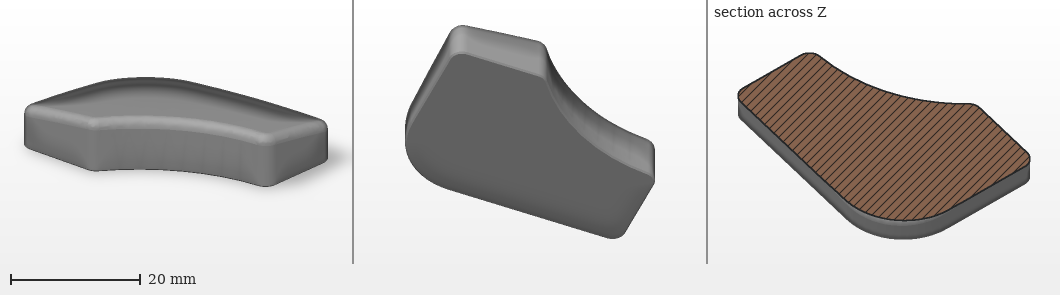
import cadquery as cq
import math

LENGTH = 39.8
WIDTH = 28.4
HEIGHT = 8.51

LARGE_CORNER_RADIUS = 11.125
CORNER_RADIUS = 4.25 / 2

AXIS_X = 39.9
AXIS_Y = -17.1
CONCAVE_RADIUS = 30.0

CROWN_RADIUS = 330.0
CROWN_SLOPE_DEG = 7.0

TOP_FILLET = 1.5
BOTTOM_CHAMFER = 0.25

FRONT_TIP_X = AXIS_X - math.sqrt(CONCAVE_RADIUS**2 - AXIS_Y**2)
RIGHT_TIP_Y = AXIS_Y + math.sqrt(CONCAVE_RADIUS**2 - (LENGTH - AXIS_X) ** 2)


def round_upright_edge(block, x, y, radius):
    """Fillet the vertical edge of the block that stands at (x, y)."""
    edge = cq.selectors.NearestToPointSelector((x, y, HEIGHT / 2))
    return block.edges("|Z").edges(edge).fillet(radius)


def outline_block():
    """Upright block with the rounded outline, tall enough to be trimmed by the crown."""
    diagonal = CONCAVE_RADIUS * math.sqrt(0.5)
    block = (
        cq.Workplane("XY")
        .lineTo(FRONT_TIP_X, 0)
        .threePointArc((AXIS_X - diagonal, AXIS_Y + diagonal), (LENGTH, RIGHT_TIP_Y))
        .lineTo(LENGTH, WIDTH)
        .lineTo(0, WIDTH)
        .close()
        .extrude(HEIGHT + TOP_FILLET)
    )
    block = round_upright_edge(block, 0, WIDTH, LARGE_CORNER_RADIUS)
    for x, y in [(0, 0), (FRONT_TIP_X, 0), (LENGTH, RIGHT_TIP_Y), (LENGTH, WIDTH)]:
        block = round_upright_edge(block, x, y, CORNER_RADIUS)
    return block


def crowned_ring():
    """Ring around the concave side's axis whose top is the crowned surface.

    The crown touches the fillet circle of the concave edge, so that the fillet peaks at HEIGHT.
    """
    slope = math.radians(CROWN_SLOPE_DEG)
    center_r = CONCAVE_RADIUS + TOP_FILLET - (CROWN_RADIUS - TOP_FILLET) * math.sin(slope)
    center_z = HEIGHT - TOP_FILLET - (CROWN_RADIUS - TOP_FILLET) * math.cos(slope)

    def crown_point(r):
        return (r, center_z + math.sqrt(CROWN_RADIUS**2 - (r - center_r) ** 2))

    inner_r = CONCAVE_RADIUS / 2
    outer_r = math.hypot(AXIS_X, WIDTH - AXIS_Y)
    return (
        cq.Workplane("XZ")
        .moveTo(inner_r, 0)
        .lineTo(outer_r, 0)
        .lineTo(*crown_point(outer_r))
        .threePointArc(crown_point((inner_r + outer_r) / 2), crown_point(inner_r))
        .close()
        .revolve(360, (0, 0), (0, 1))
        .translate((AXIS_X, AXIS_Y, 0))
    )


body = outline_block().intersect(crowned_ring())
body = body.faces("<Z").edges().chamfer(BOTTOM_CHAMFER)
result = body.faces(">Z").edges().fillet(TOP_FILLET)